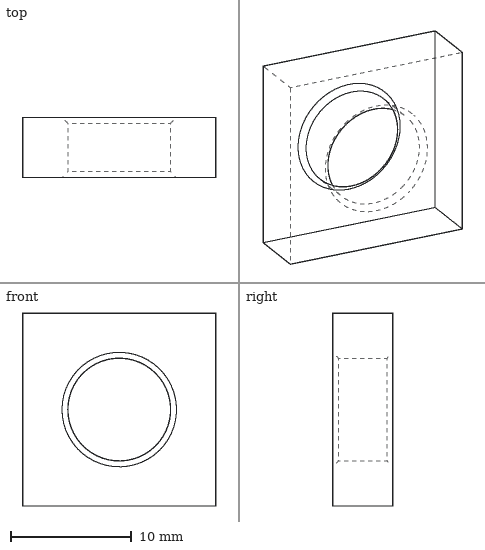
import cadquery as cq

side = 16.0
thickness = 5.0

hole_diameter = 8.5
chamfer = 0.5

plate = cq.Workplane("XY").box(side, thickness, side)
bored_plate = plate.faces("<Y").workplane().hole(hole_diameter)

result = bored_plate.edges("%CIRCLE").chamfer(chamfer)